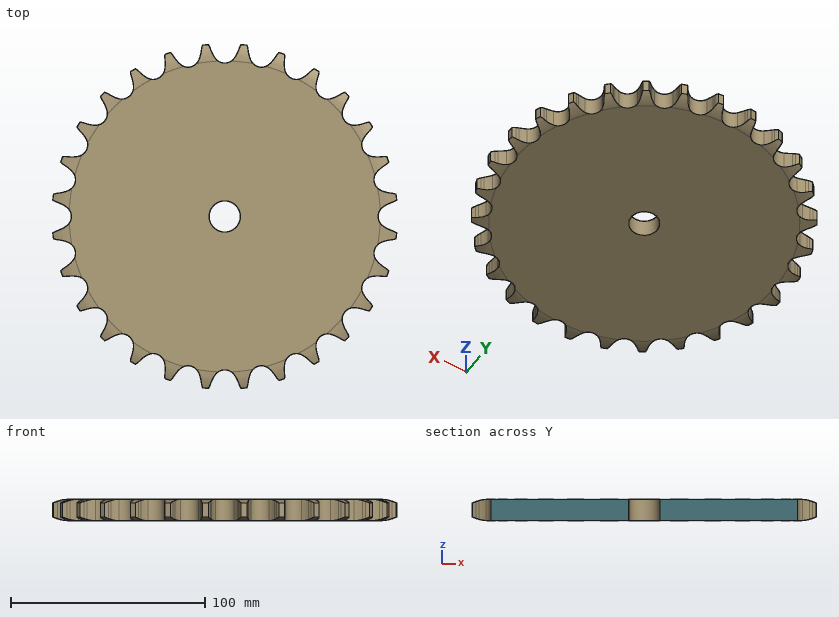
import cadquery as cq
import math


tooth_count = 28
pitch_diameter = 170.1
overall_size = 177.2
roller_diameter = 11.9
roller_clearance = 0.04
thickness = 11.2
bore_diameter = 16.0
face_diameter = 160.2
rounding_radius = 21.3

SEATING_RATIO = 0.5025
WORKING_CENTRE_RATIO = 0.8
TOPPING_CENTRE_RATIO = 1.4

seating_angle = 90 - (35 + 60 / tooth_count)
working_sweep = 18 - 56 / tooth_count
topping_angle = 17 - 64 / tooth_count
flank_angle = seating_angle + working_sweep

pitch_radius = pitch_diameter / 2
seating_radius = SEATING_RATIO * roller_diameter + roller_clearance
working_offset = WORKING_CENTRE_RATIO * roller_diameter
working_radius = seating_radius + working_offset
topping_offset = TOPPING_CENTRE_RATIO * roller_diameter
topping_radius = (
    working_offset * math.cos(math.radians(working_sweep))
    + topping_offset * math.cos(math.radians(topping_angle))
    - working_radius
)
flank_length = (
    topping_offset * math.sin(math.radians(topping_angle))
    - working_offset * math.sin(math.radians(working_sweep))
)


def polar(centre, radius, angle):
    """Point at an angle from the -Y direction, turning towards +X."""
    turn = math.radians(angle)
    return (centre[0] + radius * math.sin(turn), centre[1] - radius * math.cos(turn))


def mirrored(point):
    return (-point[0], point[1])


seat_centre = (0, pitch_radius)
seat_bottom = polar(seat_centre, seating_radius, 0)
seat_end = polar(seat_centre, seating_radius, seating_angle)

working_centre = polar(seat_centre, -working_offset, seating_angle)
working_middle = polar(working_centre, working_radius, seating_angle + working_sweep / 2)
working_end = polar(working_centre, working_radius, flank_angle)

flank_end = polar(working_end, flank_length, flank_angle + 90)

tip_height = overall_size / 2
topping_centre = polar(flank_end, topping_radius, flank_angle)
topping_start = flank_angle - 180
topping_stop = -math.degrees(math.acos((topping_centre[1] - tip_height) / topping_radius))
topping_middle = polar(topping_centre, topping_radius, (topping_start + topping_stop) / 2)
tip = polar(topping_centre, topping_radius, topping_stop)
outside_radius = math.hypot(*tip)


def tooth_gap():
    """Cutter for one tooth gap, symmetric about the YZ plane."""
    open_height = tip_height + seating_radius
    outline = (
        cq.Workplane("XY")
        .workplane(offset=-thickness)
        .moveTo(*mirrored(seat_end))
        .threePointArc(seat_bottom, seat_end)
        .threePointArc(working_middle, working_end)
        .lineTo(*flank_end)
        .threePointArc(topping_middle, tip)
        .lineTo(tip[0], open_height)
        .lineTo(-tip[0], open_height)
        .lineTo(*mirrored(tip))
        .threePointArc(mirrored(topping_middle), mirrored(flank_end))
        .lineTo(*mirrored(working_end))
        .threePointArc(mirrored(working_middle), mirrored(seat_end))
        .close()
    )
    return outline.extrude(2 * thickness)


def blank():
    """Bored disc whose rim is thinned by an arc tangent to each flat face."""
    half = thickness / 2
    bore_radius = bore_diameter / 2
    face_radius = face_diameter / 2

    def rounding_drop(radius):
        return rounding_radius - math.sqrt(rounding_radius**2 - (radius - face_radius) ** 2)

    middle_radius = (face_radius + outside_radius) / 2
    middle_z = half - rounding_drop(middle_radius)
    rim_z = half - rounding_drop(outside_radius)
    return (
        cq.Workplane("XZ")
        .moveTo(bore_radius, half)
        .lineTo(face_radius, half)
        .threePointArc((middle_radius, middle_z), (outside_radius, rim_z))
        .lineTo(outside_radius, -rim_z)
        .threePointArc((middle_radius, -middle_z), (face_radius, -half))
        .lineTo(bore_radius, -half)
        .close()
        .revolve(360, (0, 0, 0), (0, 1, 0))
    )


gap = tooth_gap()
sprocket = blank()
for index in range(tooth_count):
    turned_gap = gap.rotate((0, 0, 0), (0, 0, 1), index * 360 / tooth_count)
    sprocket = sprocket.cut(turned_gap)

result = sprocket.solids()